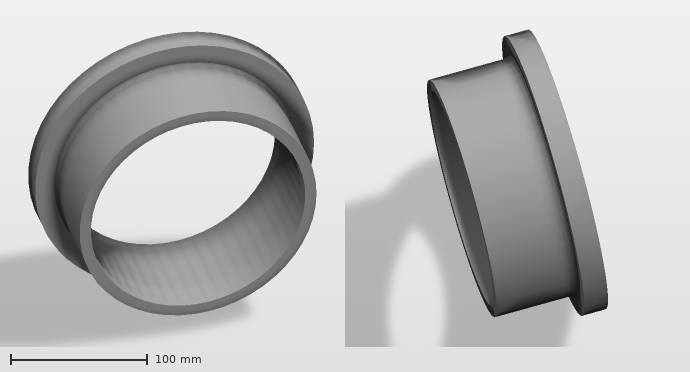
import cadquery as cq

total_length = 80.0
flange_diameter = 212.0
flange_thickness = 18.0
sleeve_diameter = 180.0
bore_diameter = 162.8

neck_length = 5.0
neck_rise = 1.3

flange_radius = flange_diameter / 2
sleeve_radius = sleeve_diameter / 2
bore_radius = bore_diameter / 2
neck_end = flange_thickness + neck_length

section = (
    cq.Workplane("XY")
    .moveTo(0, bore_radius)
    .lineTo(0, flange_radius)
    .lineTo(flange_thickness, flange_radius)
    .lineTo(flange_thickness, sleeve_radius + neck_rise)
    .lineTo(neck_end, sleeve_radius)
    .lineTo(total_length, sleeve_radius)
    .lineTo(total_length, bore_radius)
    .close()
)

result = section.revolve(360, (0, 0, 0), (1, 0, 0))